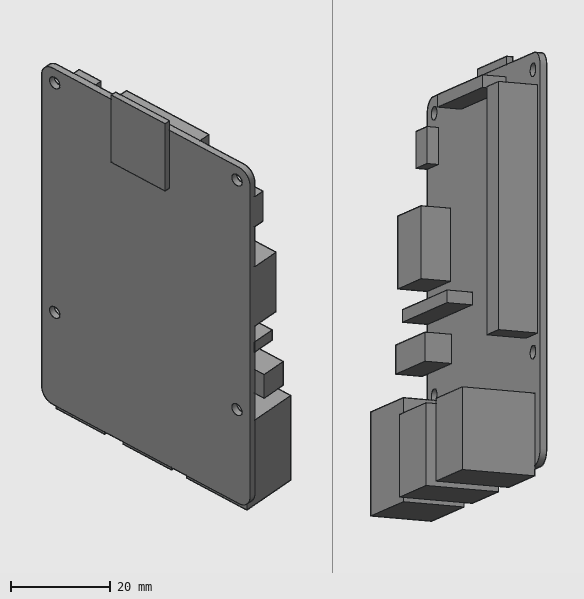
import cadquery as cq


BOARD_WIDTH = 56.0
BOARD_HEIGHT = 85.0
BOARD_THICKNESS = 1.5
CORNER_RADIUS = 3.0

HOLE_DIAMETER = 2.75
HOLE_INSET = 3.5
HOLE_SPACING_Z = 58.0

CARD_WIDTH = 14.5
CARD_LENGTH = 17.0
CARD_THICKNESS = 1.346
CARD_LEFT = 19.9
CARD_OVERHANG = 2.42

SOCKET_OVERHANG = 2.1
USB_WIDTH = 13.1
USB_LENGTH = 17.0
USB_HEIGHT = 16.0
USB_LEFT_SIDES = (2.5, 20.5)
ETHERNET_WIDTH = 16.2
ETHERNET_LENGTH = 21.4
ETHERNET_HEIGHT = 13.4
ETHERNET_LEFT = 37.65

HEADER_WIDTH = 5.9
HEADER_LENGTH = 51.0
HEADER_HEIGHT = 8.6
HEADER_LEFT = 1.15
HEADER_TOP = 78.0

RIBBON_LENGTH = 22.2
RIBBON_THICKNESS = 2.6
DISPLAY_HEIGHT = 5.2
DISPLAY_LEFT = 16.9
DISPLAY_CENTER_Z = 81.2
CAMERA_HEIGHT = 5.55
CAMERA_LEFT = 33.6
CAMERA_CENTER_Z = 40.0

POWER_DEPTH = 5.6
POWER_WIDTH = 7.6
POWER_HEIGHT = 2.5
POWER_CENTER_Z = 74.4
HDMI_DEPTH = 11.7
HDMI_WIDTH = 15.0
HDMI_HEIGHT = 6.5
HDMI_CENTER_Z = 53.0
AUDIO_DEPTH = 14.7
AUDIO_WIDTH = 6.0
AUDIO_HEIGHT = 5.85
AUDIO_OVERHANG = 2.5
AUDIO_CENTER_Z = 31.5


def make_board():
    """Rounded board with four mounting holes; the component face is at Y = BOARD_THICKNESS."""
    board = cq.Workplane("XY").box(BOARD_WIDTH, BOARD_THICKNESS, BOARD_HEIGHT, centered=False)
    board = board.edges("|Y").fillet(CORNER_RADIUS)
    upper_hole_z = BOARD_HEIGHT - HOLE_INSET
    hole_centers = [
        (x, z)
        for x in (HOLE_INSET, BOARD_WIDTH - HOLE_INSET)
        for z in (upper_hole_z, upper_hole_z - HOLE_SPACING_Z)
    ]
    holes = (
        cq.Workplane("XZ")
        .pushPoints(hole_centers)
        .circle(HOLE_DIAMETER / 2)
        .extrude(-BOARD_THICKNESS)
    )
    return board.cut(holes)


def block(left, bottom, width, length, height, base_y=BOARD_THICKNESS):
    """Box of width along X and length along Z, rising by height along +Y from base_y."""
    box = cq.Workplane("XY").box(width, height, length, centered=False)
    return box.translate((left, base_y, bottom))


def make_memory_card():
    bottom = BOARD_HEIGHT + CARD_OVERHANG - CARD_LENGTH
    return block(CARD_LEFT, bottom, CARD_WIDTH, CARD_LENGTH, CARD_THICKNESS, -CARD_THICKNESS)


def make_lower_edge_sockets():
    sockets = [
        block(left, -SOCKET_OVERHANG, USB_WIDTH, USB_LENGTH, USB_HEIGHT)
        for left in USB_LEFT_SIDES
    ]
    sockets.append(
        block(ETHERNET_LEFT, -SOCKET_OVERHANG, ETHERNET_WIDTH, ETHERNET_LENGTH, ETHERNET_HEIGHT)
    )
    return sockets


def make_pin_header():
    return block(HEADER_LEFT, HEADER_TOP - HEADER_LENGTH, HEADER_WIDTH, HEADER_LENGTH, HEADER_HEIGHT)


def ribbon_connector(left, center_z, height):
    bottom = center_z - RIBBON_THICKNESS / 2
    return block(left, bottom, RIBBON_LENGTH, RIBBON_THICKNESS, height)


def right_edge_socket(center_z, depth, width, height, overhang=0):
    left = BOARD_WIDTH + overhang - depth
    return block(left, center_z - width / 2, depth, width, height)


components = [
    make_memory_card(),
    *make_lower_edge_sockets(),
    make_pin_header(),
    ribbon_connector(DISPLAY_LEFT, DISPLAY_CENTER_Z, DISPLAY_HEIGHT),
    ribbon_connector(CAMERA_LEFT, CAMERA_CENTER_Z, CAMERA_HEIGHT),
    right_edge_socket(POWER_CENTER_Z, POWER_DEPTH, POWER_WIDTH, POWER_HEIGHT),
    right_edge_socket(HDMI_CENTER_Z, HDMI_DEPTH, HDMI_WIDTH, HDMI_HEIGHT),
    right_edge_socket(AUDIO_CENTER_Z, AUDIO_DEPTH, AUDIO_WIDTH, AUDIO_HEIGHT, AUDIO_OVERHANG),
]

result = make_board()
for component in components:
    result = result.union(component)